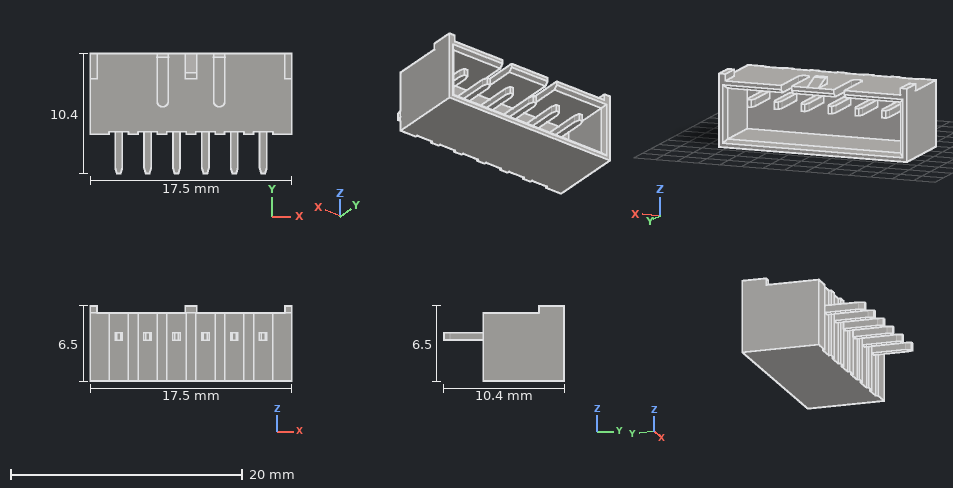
import cadquery as cq


body_length = 17.46
body_depth = 7.0
body_height = 5.9
wall = 0.7
floor_thickness = 2.0
mouth_chamfer = 0.33
cavity_depth = body_depth - floor_thickness

pin_count = 6
pin_pitch = 2.5
pin_size = 0.64
pin_tip_width = 0.34
pin_taper_length = 0.5
pin_height = 3.87
tail_length = 3.4
pin_recess = 0.9
pin_positions = [(i - (pin_count - 1) / 2) * pin_pitch for i in range(pin_count)]

groove_width = 1.66
groove_depth = 0.2

slot_width = 0.98
slot_length = 4.62
slot_offset = 2.45

raised_height = 0.6
raised_length = 2.18
rail_width = 0.6
latch_width = 1.03
latch_flat = 0.5


def box(width, depth, height, x_center, y_start, z_start):
    """Box centred on x_center, growing toward +Y and +Z from its start values."""
    return (
        cq.Workplane("XY")
        .box(width, depth, height, centered=(True, False, False))
        .translate((x_center, y_start, z_start))
    )


def make_cavity():
    """Rectangular pocket that flares outward at the mouth."""
    cavity_width = body_length - 2 * wall
    cavity_height = body_height - 2 * wall
    pocket = box(cavity_width, cavity_depth, cavity_height, 0, floor_thickness, wall)
    flare = (
        cq.Workplane("XZ", origin=(0, body_depth, body_height / 2))
        .rect(cavity_width + 2 * mouth_chamfer, cavity_height + 2 * mouth_chamfer)
        .workplane(offset=mouth_chamfer)
        .rect(cavity_width, cavity_height)
        .loft(ruled=True)
    )
    return pocket.union(flare)


def make_slot(x_center):
    """Round-ended slot through the top wall, open at the mouth."""
    radius = slot_width / 2
    slot_end = body_depth - slot_length
    return (
        cq.Workplane("XY", origin=(x_center, 0, body_height - wall))
        .moveTo(-radius, body_depth)
        .lineTo(-radius, slot_end + radius)
        .threePointArc((0, slot_end), (radius, slot_end + radius))
        .lineTo(radius, body_depth)
        .close()
        .extrude(wall)
    )


def make_latch():
    """Latch bump that ramps up from the mouth edge to a short flat top."""
    latch_back = body_depth - raised_length
    return (
        cq.Workplane("YZ", origin=(-latch_width / 2, 0, body_height))
        .moveTo(body_depth, 0)
        .lineTo(latch_back + latch_flat, raised_height)
        .lineTo(latch_back, raised_height)
        .lineTo(latch_back, 0)
        .close()
        .extrude(latch_width)
    )


def make_pin(x_center):
    """Square pin through the floor, with both ends narrowed in X only."""
    half_width = pin_size / 2
    half_tip = pin_tip_width / 2
    tail_end = -tail_length
    contact_end = body_depth - pin_recess
    return (
        cq.Workplane("XY", origin=(x_center, 0, pin_height - half_width))
        .polyline([
            (-half_tip, tail_end),
            (half_tip, tail_end),
            (half_width, tail_end + pin_taper_length),
            (half_width, contact_end - pin_taper_length),
            (half_tip, contact_end),
            (-half_tip, contact_end),
            (-half_width, contact_end - pin_taper_length),
            (-half_width, tail_end + pin_taper_length),
        ])
        .close()
        .extrude(pin_size)
    )


result = box(body_length, body_depth, body_height, 0, 0, 0).cut(make_cavity())
for side in (-1, 1):
    result = result.cut(make_slot(side * slot_offset))
for x in pin_positions:
    result = result.cut(box(groove_width, groove_depth, body_height, x, 0, 0))

rail_offset = (body_length - rail_width) / 2
for side in (-1, 1):
    rail = box(
        rail_width, raised_length, raised_height,
        side * rail_offset, body_depth - raised_length, body_height,
    )
    result = result.union(rail)
result = result.union(make_latch())

for x in pin_positions:
    result = result.union(make_pin(x))